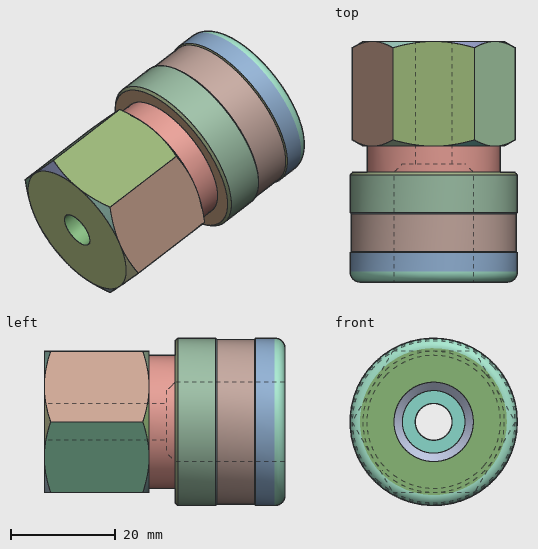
import cadquery as cq
import math

total_length = 46.0
hex_start = 26.0
sleeve_length = 21.0
groove_start = 5.65
groove_end = 13.3

sleeve_radius = 16.0
front_fillet = 2.0
rear_chamfer = 0.5
groove_depth = 0.25
neck_radius = 12.75

hex_across_flats = 27.0
hex_chamfer_angle = 30.0

socket_radius = 7.6
socket_depth = sleeve_length
seat_radius = 6.0
passage_radius = 3.5


def revolve_about_y(profile):
    """Revolve a closed (radius, Y) profile about the Y axis."""
    return profile.close().revolve(360, (0, 0, 0), (0, 1, 0))


def make_sleeve_and_neck():
    groove_radius = sleeve_radius - groove_depth
    fillet_mid = front_fillet * (1 - math.sqrt(0.5))
    profile = (
        cq.Workplane("XY")
        .lineTo(sleeve_radius - front_fillet, 0)
        .threePointArc((sleeve_radius - fillet_mid, fillet_mid), (sleeve_radius, front_fillet))
        .lineTo(sleeve_radius, groove_start)
        .lineTo(groove_radius, groove_start + groove_depth)
        .lineTo(groove_radius, groove_end - groove_depth)
        .lineTo(sleeve_radius, groove_end)
        .lineTo(sleeve_radius, sleeve_length - rear_chamfer)
        .lineTo(sleeve_radius - rear_chamfer, sleeve_length)
        .lineTo(neck_radius, sleeve_length)
        .lineTo(neck_radius, hex_start)
        .lineTo(0, hex_start)
    )
    return revolve_about_y(profile)


def make_hexagon():
    flat_radius = hex_across_flats / 2
    corner_radius = flat_radius / math.cos(math.radians(30))
    chamfer_length = (corner_radius - flat_radius) * math.tan(math.radians(hex_chamfer_angle))
    prism = (
        cq.Workplane("XZ", origin=(0, hex_start, 0))
        .polygon(6, 2 * corner_radius)
        .extrude(hex_start - total_length)
    )
    envelope = (
        cq.Workplane("XY")
        .moveTo(0, hex_start)
        .lineTo(flat_radius, hex_start)
        .lineTo(corner_radius, hex_start + chamfer_length)
        .lineTo(corner_radius, total_length - chamfer_length)
        .lineTo(flat_radius, total_length)
        .lineTo(0, total_length)
    )
    return prism.intersect(revolve_about_y(envelope))


def make_bore():
    seat_depth = socket_depth + socket_radius - seat_radius
    profile = (
        cq.Workplane("XY")
        .lineTo(socket_radius, 0)
        .lineTo(socket_radius, socket_depth)
        .lineTo(seat_radius, seat_depth)
        .lineTo(passage_radius, seat_depth)
        .lineTo(passage_radius, total_length)
        .lineTo(0, total_length)
    )
    return revolve_about_y(profile)


result = make_sleeve_and_neck().union(make_hexagon()).cut(make_bore())